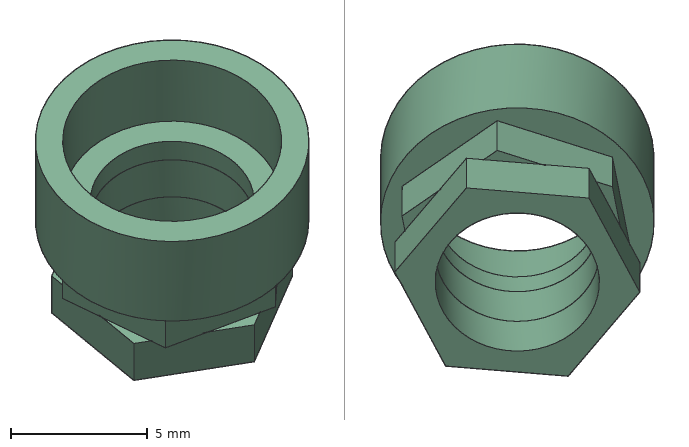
import cadquery as cq

cup_diameter = 10.0
cup_bore_diameter = 8.0
cup_depth = 3.3
cup_floor_thickness = 1.0
through_bore_diameter = 6.0
nut_across_corners = 9.0
nut_height = 2.0

nut_angles = [15.0, 30.0]

cup_base_z = len(nut_angles) * nut_height
cup_height = cup_floor_thickness + cup_depth


def make_nut(base_z, angle):
    """Hexagonal ring with a round bore, turned about Z."""
    return (
        cq.Workplane("XY", origin=(0, 0, base_z))
        .polygon(6, nut_across_corners)
        .circle(through_bore_diameter / 2)
        .extrude(nut_height)
        .rotate((0, 0, 0), (0, 0, 1), angle)
    )


def make_cup():
    """Round cup, open at the top, with a bore through its floor."""
    return (
        cq.Workplane("XY", origin=(0, 0, cup_base_z))
        .circle(cup_diameter / 2)
        .extrude(cup_height)
        .faces(">Z")
        .workplane()
        .cboreHole(through_bore_diameter, cup_bore_diameter, cup_depth)
    )


cup = make_cup()
nuts = [make_nut(level * nut_height, angle) for level, angle in enumerate(nut_angles)]

result = cq.Compound.makeCompound([cup.val(), *[nut.val() for nut in nuts]])